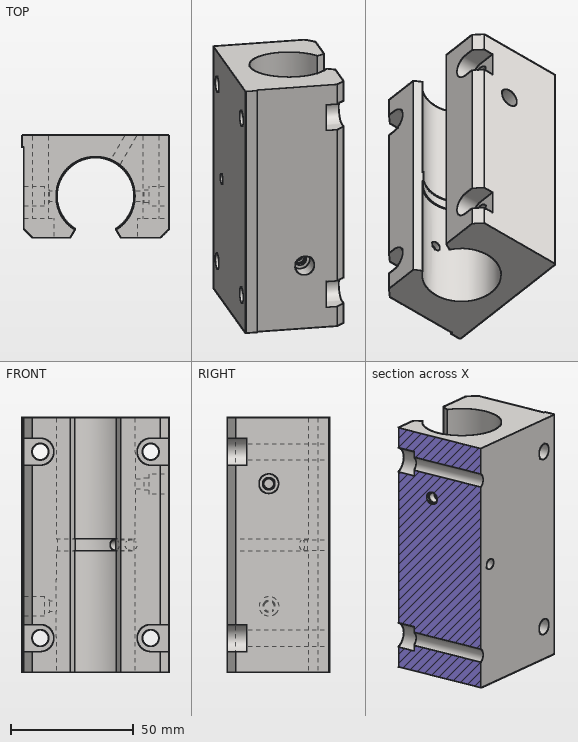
import cadquery as cq
import math

length = 104.0
width = 60.0
height = 42.0
lip_depth = 0.7
lip_height = 5.0
corner_chamfer = 3.5
top_chamfer = 0.4

bore_drop = 25.0
bore_radius = 16.1
ridge_radius = 15.7
ridge_length = 4.9
opening_half_width = 10.3
opening_half_angle = 30.0

screw_spacing_x = 45.0
screw_spacing_z = 76.0
screw_diameter = 6.7
screw_slot_width = 11.0
screw_slot_depth = 8.0

port_offset_z = 25.0
port_diameter = 4.2
port_recess_diameter = 8.0
port_recess_depth = 8.3
port_thread_diameter = 5.0
port_thread_depth = 10.4

pin_diameter = 4.3
pin_angle = 60.0

top_y = height / 2
bottom_y = -top_y
side_x = width / 2
bore_y = top_y - bore_drop


def block():
    body_left = -side_x + lip_depth
    return (
        cq.Workplane("XY", origin=(0, 0, -length / 2))
        .moveTo(-side_x, top_y - top_chamfer)
        .lineTo(-side_x + top_chamfer, top_y)
        .lineTo(side_x - top_chamfer, top_y)
        .lineTo(side_x, top_y - top_chamfer)
        .lineTo(side_x, bottom_y + corner_chamfer)
        .lineTo(side_x - corner_chamfer, bottom_y)
        .lineTo(body_left + corner_chamfer, bottom_y)
        .lineTo(body_left, bottom_y + corner_chamfer)
        .lineTo(body_left, top_y - lip_height)
        .lineTo(-side_x, top_y - lip_height)
        .close()
        .extrude(length)
    )


def z_cylinder(radius, start_z, end_z):
    return cq.Workplane("XY", origin=(0, bore_y, start_z)).circle(radius).extrude(end_z - start_z)


def bore():
    end_z = length / 2
    ridge_z = ridge_length / 2
    return (
        z_cylinder(ridge_radius, -end_z, end_z)
        .union(z_cylinder(bore_radius, -end_z, -ridge_z))
        .union(z_cylinder(bore_radius, ridge_z, end_z))
    )


def opening():
    tip_y = bottom_y + opening_half_width / math.tan(math.radians(opening_half_angle))
    return (
        cq.Workplane("XY", origin=(0, 0, -length / 2))
        .polyline([(0, tip_y), (opening_half_width, bottom_y), (-opening_half_width, bottom_y)])
        .close()
        .extrude(length)
    )


def screw_cut(side, z):
    x = side * screw_spacing_x / 2
    slot_run = width / 2
    plane = cq.Plane(origin=(x, bottom_y, z), xDir=(side, 0, 0), normal=(0, 1, 0))
    hole = cq.Workplane(plane).circle(screw_diameter / 2).extrude(height)
    round_end = cq.Workplane(plane).circle(screw_slot_width / 2).extrude(screw_slot_depth)
    run_out = (
        cq.Workplane(plane)
        .center(slot_run / 2, 0)
        .rect(slot_run, screw_slot_width)
        .extrude(screw_slot_depth)
    )
    return hole.union(round_end).union(run_out)


def port_cut(side):
    face_x = side_x if side > 0 else side_x - lip_depth
    plane = cq.Plane(
        origin=(side * face_x, bore_y, side * port_offset_z), xDir=(0, 1, 0), normal=(-side, 0, 0)
    )
    hole = cq.Workplane(plane).circle(port_diameter / 2).extrude(face_x)
    thread = cq.Workplane(plane).circle(port_thread_diameter / 2).extrude(port_thread_depth)
    recess = cq.Workplane(plane).circle(port_recess_diameter / 2).extrude(port_recess_depth)
    return hole.union(thread).union(recess)


def pin_cut():
    angle = math.radians(pin_angle)
    plane = cq.Plane(
        origin=(0, bore_y, 0), xDir=(0, 0, 1), normal=(math.cos(angle), math.sin(angle), 0)
    )
    return cq.Workplane(plane).circle(pin_diameter / 2).extrude(width)


result = block().cut(bore()).cut(opening()).cut(pin_cut())
for side in (-1, 1):
    result = result.cut(port_cut(side))
    for end in (-1, 1):
        result = result.cut(screw_cut(side, end * screw_spacing_z / 2))